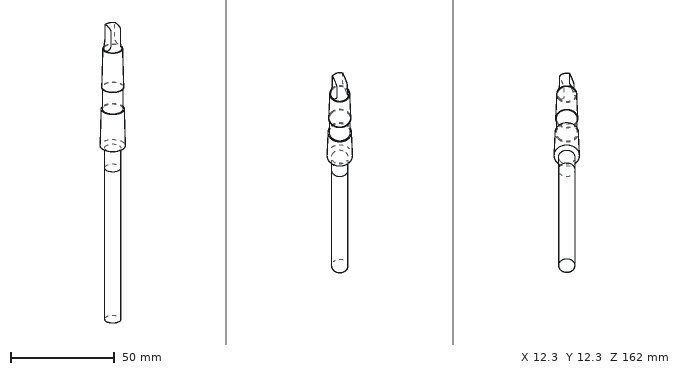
import cadquery as cq
import math

TOTAL_LENGTH = 162.0
FLUTE_END = 84.2
LAND_END = 32.0
SHANK_START = 95.0
TAPER_START = 96.3
RELIEF_START = 116.3
RELIEF_END = 128.1
TANG_START = 149.1

DRILL_DIAMETER = 8.0
POINT_ANGLE = 130.0

TAPER_LARGE_DIAMETER = 12.3
TAPER_RATIO = 1 / 20
RELIEF_DIAMETER = 10.0

TANG_DIAMETER = 8.7
TANG_THICKNESS = 5.2
TANG_CORNER_RADIUS = 1.1
DOME_HEIGHT = 0.3
FLAT_RUNOUT_START = 153.0
FLAT_RUNOUT_RADIUS = 5.0
FLAT_DIRECTION = 60.0

DRILL_RADIUS = DRILL_DIAMETER / 2
RELIEF_RADIUS = RELIEF_DIAMETER / 2
TANG_RADIUS = TANG_DIAMETER / 2
DOME_RADIUS = TANG_RADIUS - TANG_CORNER_RADIUS
DOME_EDGE = TOTAL_LENGTH - DOME_HEIGHT
DOME_SPHERE_RADIUS = (DOME_RADIUS**2 + DOME_HEIGHT**2) / (2 * DOME_HEIGHT)
POINT_HEIGHT = DRILL_RADIUS / math.tan(math.radians(POINT_ANGLE / 2))


def taper_radius(z):
    """Radius of the shank cone at height z."""
    return (TAPER_LARGE_DIAMETER - TAPER_RATIO * (z - TAPER_START)) / 2


def make_cutting_part():
    """Lower part of the drill: the conical point, the cutting land and the fluted length."""
    outline = (
        cq.Workplane("XZ")
        .lineTo(DRILL_RADIUS, POINT_HEIGHT)
        .lineTo(DRILL_RADIUS, LAND_END)
        .lineTo(DRILL_RADIUS, FLUTE_END)
        .lineTo(0, FLUTE_END)
        .close()
    )
    return outline.revolve()


def make_turned_shank():
    """Neck, tapered shank with its relief, and the round, dome-ended blank of the tang."""
    outline = (
        cq.Workplane("XZ")
        .moveTo(0, FLUTE_END)
        .lineTo(DRILL_RADIUS, FLUTE_END)
        .lineTo(DRILL_RADIUS, SHANK_START)
        .lineTo(taper_radius(TAPER_START), TAPER_START)
        .lineTo(taper_radius(RELIEF_START), RELIEF_START)
        .lineTo(RELIEF_RADIUS, RELIEF_START)
        .lineTo(RELIEF_RADIUS, RELIEF_END)
        .lineTo(taper_radius(RELIEF_END), RELIEF_END)
        .lineTo(taper_radius(TANG_START), TANG_START)
        .lineTo(TANG_RADIUS, TANG_START)
        .lineTo(TANG_RADIUS, DOME_EDGE - TANG_CORNER_RADIUS)
        .radiusArc((DOME_RADIUS, DOME_EDGE), -TANG_CORNER_RADIUS)
        .radiusArc((0, TOTAL_LENGTH), -DOME_SPHERE_RADIUS)
        .close()
    )
    return outline.revolve()


def make_flat_cutter():
    """Cutter for the flat on the +X side, with a concave run-out at its lower end."""
    flat_x = TANG_THICKNESS / 2
    runout_center_x = flat_x + FLAT_RUNOUT_RADIUS
    outline = (
        cq.Workplane("XZ")
        .moveTo(flat_x, TOTAL_LENGTH)
        .lineTo(flat_x, FLAT_RUNOUT_START)
        .radiusArc((runout_center_x, FLAT_RUNOUT_START - FLAT_RUNOUT_RADIUS), -FLAT_RUNOUT_RADIUS)
        .lineTo(runout_center_x, TOTAL_LENGTH)
        .close()
    )
    return outline.extrude(TANG_RADIUS, both=True)


def make_shank():
    """Shank with two opposite flats milled on the tang."""
    shank = make_turned_shank()
    tang_zone = (
        cq.Workplane("XY", origin=(0, 0, TANG_START))
        .circle(TAPER_LARGE_DIAMETER)
        .extrude(TOTAL_LENGTH - TANG_START)
    )
    cutter = make_flat_cutter().intersect(tang_zone)
    for angle in (FLAT_DIRECTION, FLAT_DIRECTION + 180):
        shank = shank.cut(cutter.rotate((0, 0, 0), (0, 0, 1), angle))
    return shank


cutting_part = make_cutting_part()
shank = make_shank()

result = cq.Compound.makeCompound([cutting_part.val(), shank.val()])